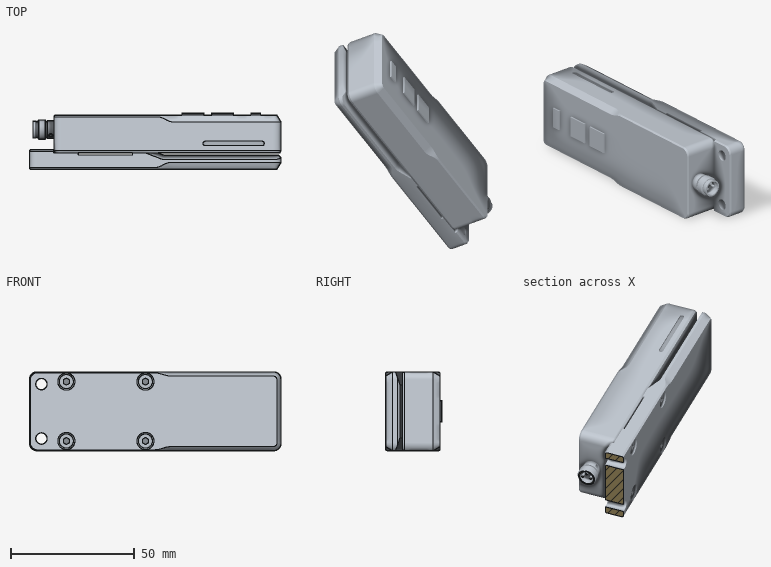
import cadquery as cq
import math


length = 102.0
height = 32.0
half_height = height / 2
corner_radius = 3.2

edge_inset = 0.4
edge_bevel = (edge_inset, 0.7)

bevel_inset = 1.7
bevel_depth = 2.9
full_bevel = (bevel_inset, bevel_depth)
ramp_length = 7.3

lip_top = 8.1
seat_y = 6.7
pocket_start = 19.9
pocket_end = 41.7
pocket_floor = 5.9
plate_ramp_start = 50.4
mount_hole_diameter = 4.5
mount_hole_x = 4.9
mount_hole_z = 11.0

gap_face_peak = 5.8
gap_face_edge = 4.0
gap_face_slope_width = 5.3
gap_face_start = 55.0
gap_face_ramp_angle = math.radians(21)
gap_face_blend_radius = 3.1
gap_face_ramp_length = 12.2
gap_face_end_chamfer = 1.1

screw_x = (15.0, 47.0)
screw_z = 12.0
sink_diameter = 6.9
screw_head_diameter = 5.7
sink_depth = 0.6
socket_diameter = 2.9
socket_depth = 1.2

housing_start = 9.9
housing_top = 22.0
housing_ramp_start = 51.4
gap_edge_bevel = (0.5, 0.9)
slot_start = 70.4
slot_end = 95.2
slot_width = 1.8
slot_y = 10.5
slot_depth = 0.6

pad_spans = ((61.8, 70.7), (73.8, 82.6), (89.8, 93.6))
pad_height = 8.6
pads_top = 22.7

connector_y = 16.1
connector_tip = 1.4
nose_diameter = 6.9
nose_end = 2.7
neck_diameter = 6.4
collar_diameter = 8.0
collar_start = 3.5
collar_end = 6.7
collar_chamfer = 0.4
base_diameter = 7.2
base_start = 7.3
socket_bore_diameter = 5.8
socket_bore_end = 6.1
pin_diameter = 1.0
pin_circle_radius = 1.7
pin_tip = 2.2
pin_angles = (0, 90, 180)
dimple_diameter = 1.6
dimple_depth = 0.5
dimple_x = 8.7
dimple_angle = 45


def block(x_start, x_end, y_start, y_end, z_size=height):
    """Box centred on Z = 0."""
    box = cq.Workplane("XY").box(x_end - x_start, y_end - y_start, z_size, centered=(False, False, True))
    return box.translate((x_start, y_start, 0))


def tapered_cap(body, face, inset, depth):
    """Add a cap of the given depth on a face, drawn in by the inset all around."""
    cap = (
        body.faces(face)
        .wires()
        .toPending()
        .workplane()
        .extrude(depth, combine=False, taper=math.degrees(math.atan2(inset, depth)))
    )
    return body.union(cap)


def bevelled_block(x_start, y_start, y_end, low_bevel, high_bevel):
    """Block reaching the +X end, with round corners and its -Y and +Y faces bevelled all around.

    Each bevel is a pair of inset and depth.
    """
    low_inset, low_depth = low_bevel
    high_inset, high_depth = high_bevel
    body = block(x_start, length, y_start + low_depth, y_end - high_depth).edges("|Y").fillet(corner_radius)
    body = tapered_cap(body, "<Y", low_inset, low_depth)
    return tapered_cap(body, ">Y", high_inset, high_depth)


def ramp_cutter(ramp_start, outer_y, inward, side):
    """Cut that deepens from the small edge bevel to the full bevel at one long edge.

    The profile is an S of two equal arcs in the plane of X and the bevel normal,
    extruded along the bevel slope.
    """
    slant = math.hypot(bevel_inset, bevel_depth)
    start_depth = edge_inset * bevel_depth / slant
    full_depth = bevel_inset * bevel_depth / slant
    middle_x = ramp_start + ramp_length / 2
    middle_depth = (start_depth + full_depth) / 2
    ramp_end = ramp_start + ramp_length
    arc_rise = middle_depth - start_depth
    arc_run = middle_x - ramp_start
    arc_radius = (arc_run**2 + arc_rise**2) / (2 * arc_rise)
    half_turn = math.asin(arc_run / arc_radius) / 2
    first_arc_mid = (
        ramp_start + arc_radius * math.sin(half_turn),
        start_depth + arc_radius * (1 - math.cos(half_turn)),
    )

    depth_direction = cq.Vector(0, inward * bevel_inset, -side * bevel_depth)
    x_direction = cq.Vector(1, 0, 0)
    plane = cq.Plane(
        origin=(0, outer_y, side * half_height),
        xDir=(1, 0, 0),
        normal=x_direction.cross(depth_direction).toTuple(),
    )
    return (
        cq.Workplane(plane)
        .moveTo(ramp_start, 0)
        .lineTo(ramp_start, start_depth)
        .threePointArc(first_arc_mid, (middle_x, middle_depth))
        .tangentArcPoint((ramp_end, full_depth), relative=False)
        .lineTo(ramp_end, 0)
        .close()
        .extrude(2 * slant, both=True)
    )


def join_halves(near_body, far_body, ramp_start, outer_y, inward):
    """Join the near half, cut by a ramp at each long edge, to the far half with the full bevel."""
    near_side = block(0, ramp_start + ramp_length, 0, housing_top)
    near = near_body.intersect(near_side)
    for side in (1, -1):
        near = near.cut(ramp_cutter(ramp_start, outer_y, inward, side))
    return near.union(far_body.cut(near_side))


def gap_cutter():
    """Region above the gap face of the plate, swept from the +X end and up a ramp to the seat."""
    blend_length = gap_face_blend_radius * math.tan(gap_face_ramp_angle / 2)
    corner_x = gap_face_start - blend_length

    def on_blend(angle):
        return (
            gap_face_start - gap_face_blend_radius * math.sin(angle),
            gap_face_peak + gap_face_blend_radius * (1 - math.cos(angle)),
        )

    path = (
        cq.Workplane("XY")
        .moveTo(length, gap_face_peak)
        .lineTo(gap_face_start, gap_face_peak)
        .threePointArc(on_blend(gap_face_ramp_angle / 2), on_blend(gap_face_ramp_angle))
        .lineTo(
            corner_x - gap_face_ramp_length * math.cos(gap_face_ramp_angle),
            gap_face_peak + gap_face_ramp_length * math.sin(gap_face_ramp_angle),
        )
    )
    return (
        cq.Workplane("YZ", origin=(length, 0, 0))
        .moveTo(gap_face_edge, -half_height)
        .lineTo(gap_face_peak, gap_face_slope_width - half_height)
        .lineTo(gap_face_peak, half_height - gap_face_slope_width)
        .lineTo(gap_face_edge, half_height)
        .lineTo(lip_top, half_height)
        .lineTo(lip_top, -half_height)
        .close()
        .sweep(path)
    )


def make_plate():
    near = bevelled_block(0, 0, lip_top, edge_bevel, edge_bevel)
    far = bevelled_block(0, 0, lip_top, full_bevel, edge_bevel)
    plate = join_halves(near, far, plate_ramp_start, 0, 1)
    plate = plate.cut(block(housing_start, length, seat_y, lip_top))
    plate = plate.cut(block(pocket_start, pocket_end, pocket_floor, seat_y))
    plate = plate.cut(gap_cutter())

    end_chamfer = (
        cq.Workplane("XY", origin=(0, 0, -half_height))
        .moveTo(length, gap_face_peak - gap_face_end_chamfer)
        .lineTo(length, gap_face_peak)
        .lineTo(length - gap_face_end_chamfer, gap_face_peak)
        .close()
        .extrude(height)
    )
    plate = plate.cut(end_chamfer)

    for side in (1, -1):
        hole = (
            cq.Workplane("ZX", origin=(mount_hole_x, 0, side * mount_hole_z))
            .circle(mount_hole_diameter / 2)
            .extrude(lip_top)
        )
        plate = plate.cut(hole)
        for x in screw_x:
            plate = plate.cut(screw_recess(x, side * screw_z))
    return plate


def screw_recess(x, z):
    """Conical ring down to the screw head, plus the hexagon socket in the head."""
    ring = (
        cq.Workplane("ZX", origin=(x, 0, z))
        .circle(sink_diameter / 2)
        .workplane(offset=sink_depth)
        .circle(screw_head_diameter / 2)
        .loft()
    )
    socket = (
        cq.Workplane("ZX", origin=(x, 0, z))
        .polygon(6, socket_diameter)
        .extrude(sink_depth + socket_depth)
    )
    return ring.union(socket)


def make_housing():
    near = bevelled_block(housing_start, seat_y, housing_top, gap_edge_bevel, edge_bevel)
    far = bevelled_block(housing_start, seat_y, housing_top, gap_edge_bevel, full_bevel)
    housing = join_halves(near, far, housing_ramp_start, housing_top, -1)

    slot = (
        cq.Workplane("XY", origin=((slot_start + slot_end) / 2, slot_y, half_height))
        .slot2D(slot_end - slot_start, slot_width)
        .extrude(-slot_depth)
    )
    housing = housing.cut(slot)
    for pad_start, pad_end in pad_spans:
        housing = housing.union(block(pad_start, pad_end, housing_top, pads_top, pad_height))
    return housing


def connector_section(diameter, x_start, x_end):
    return (
        cq.Workplane("YZ", origin=(x_start, connector_y, 0))
        .circle(diameter / 2)
        .extrude(x_end - x_start)
    )


def make_connector():
    collar = connector_section(collar_diameter, collar_start, collar_end).edges().chamfer(collar_chamfer)
    connector = (
        connector_section(neck_diameter, connector_tip, housing_start)
        .union(connector_section(nose_diameter, connector_tip, nose_end))
        .union(collar)
        .union(connector_section(base_diameter, base_start, housing_start))
        .cut(connector_section(socket_bore_diameter, connector_tip, socket_bore_end))
    )
    for angle in pin_angles:
        turn = math.radians(angle)
        pin = connector_section(pin_diameter, pin_tip, socket_bore_end).translate(
            (0, pin_circle_radius * math.cos(turn), pin_circle_radius * math.sin(turn))
        )
        connector = connector.union(pin)

    dimple = (
        cq.Workplane("XY", origin=(dimple_x, connector_y, base_diameter / 2 - dimple_depth))
        .circle(dimple_diameter / 2)
        .extrude(2 * dimple_depth)
        .rotate((0, connector_y, 0), (1, connector_y, 0), dimple_angle)
    )
    return connector.cut(dimple)


result = make_plate().union(make_housing()).union(make_connector())